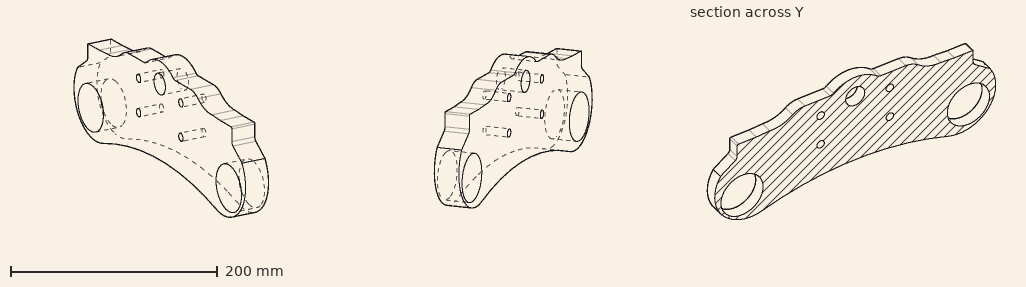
import cadquery as cq
import math

length = 324.5
thickness = 26.0
height = 121.0

lobe_radius = 42.2
lobe_x = length / 2 - lobe_radius
lobe_z = lobe_radius
lobe_top_angle = math.radians(147)
belly_z = 19.0

wing_x = 136.5
wing_z = 96.0
wing_foot_z = 79.0
shoulder_fillet = 5.0
wing_fillet = 1.5

deck_z = 110.5
deck_x = 58.0
rise_angle = math.radians(38.5)
crest_radius = 22.7
valley_radius = 39.0
valley_start_angle = math.radians(-93)
wing_flat_x = 114.3

crown_radius = 39.0
crown_fillet = 6.5

fork_hole_diameter = 48.0
fork_hole_x = 130.5
fork_hole_z = 31.5
stem_hole_diameter = 21.5
stem_hole_z = 97.5
bolt_hole_diameter = 8.0
bolt_hole_x = 40.0
bolt_hole_heights = (55.2, 90.5)


def on_circle(center_x, center_z, radius, angle):
    return (center_x + radius * math.cos(angle), center_z + radius * math.sin(angle))


def mirrored(point):
    return (-point[0], point[1])


lobe_drop = lobe_z - belly_z
belly_radius = (lobe_x**2 + lobe_drop**2 - lobe_radius**2) / (2 * (lobe_radius - lobe_drop))
belly_angle = math.atan2(lobe_drop + belly_radius, lobe_x)
belly_end = on_circle(0, belly_z - belly_radius, belly_radius, math.pi - belly_angle)

lobe_top = on_circle(-lobe_x, lobe_z, lobe_radius, lobe_top_angle)
lobe_side = (-length / 2, lobe_z)
wing_foot = (-wing_x, wing_foot_z)
wing_corner = (-wing_x, wing_z)
wing_end = (-wing_flat_x, wing_z)

crest_z = deck_z - crest_radius
steep_angle = math.pi / 2 + rise_angle
steep_point = on_circle(-deck_x, crest_z, crest_radius, steep_angle)
crest_mid = on_circle(-deck_x, crest_z, crest_radius, math.pi / 2 + rise_angle / 2)
valley_x, valley_z = on_circle(-deck_x, crest_z, crest_radius + valley_radius, steep_angle)
valley_mid_angle = (valley_start_angle + rise_angle - math.pi / 2) / 2
valley_start = on_circle(valley_x, valley_z, valley_radius, valley_start_angle)
valley_mid = on_circle(valley_x, valley_z, valley_radius, valley_mid_angle)

crown_drop = height - deck_z
crown_foot = (-math.sqrt(crown_drop * (2 * crown_radius - crown_drop)), deck_z)


def make_plate():
    outline = (
        cq.Workplane("XZ", origin=(0, thickness / 2, 0))
        .moveTo(*belly_end)
        .threePointArc(lobe_side, lobe_top)
        .lineTo(*wing_foot)
        .lineTo(*wing_corner)
        .lineTo(*wing_end)
        .lineTo(*valley_start)
        .threePointArc(valley_mid, steep_point)
        .threePointArc(crest_mid, (-deck_x, deck_z))
        .lineTo(*crown_foot)
        .threePointArc((0, height), mirrored(crown_foot))
        .lineTo(deck_x, deck_z)
        .threePointArc(mirrored(crest_mid), mirrored(steep_point))
        .threePointArc(mirrored(valley_mid), mirrored(valley_start))
        .lineTo(*mirrored(wing_end))
        .lineTo(*mirrored(wing_corner))
        .lineTo(*mirrored(wing_foot))
        .lineTo(*mirrored(lobe_top))
        .threePointArc(mirrored(lobe_side), mirrored(belly_end))
        .threePointArc((0, belly_z), belly_end)
        .close()
    )
    return outline.extrude(thickness)


def round_corner_pair(plate, corner, radius):
    """Round the through-thickness edges at a corner and at its mirror image."""
    for x, z in (corner, mirrored(corner)):
        edge = plate.edges("|Y").edges(cq.selectors.NearestToPointSelector((x, 0, z)))
        plate = edge.fillet(radius)
    return plate


def drill(plate, diameter, centers):
    holes = cq.Workplane("XZ", origin=(0, thickness / 2, 0)).pushPoints(centers)
    return plate.cut(holes.circle(diameter / 2).extrude(thickness))


bolt_centers = [(side * bolt_hole_x, z) for side in (-1, 1) for z in bolt_hole_heights]
fork_centers = [(-fork_hole_x, fork_hole_z), (fork_hole_x, fork_hole_z)]

result = make_plate()
result = round_corner_pair(result, wing_foot, shoulder_fillet)
result = round_corner_pair(result, wing_corner, wing_fillet)
result = round_corner_pair(result, crown_foot, crown_fillet)
result = drill(result, fork_hole_diameter, fork_centers)
result = drill(result, stem_hole_diameter, [(0, stem_hole_z)])
result = drill(result, bolt_hole_diameter, bolt_centers)